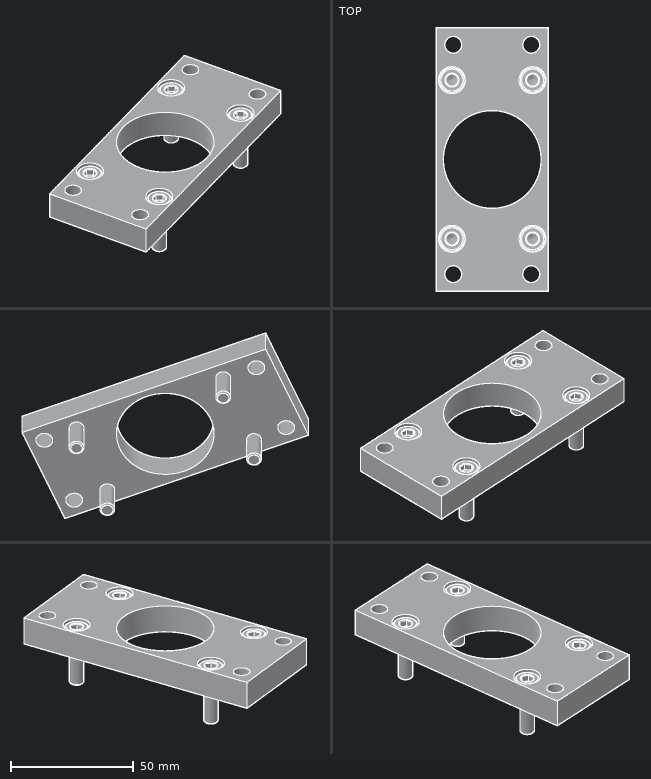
import cadquery as cq
import math

PLATE_WIDTH = 46.0
PLATE_LENGTH = 108.0
PLATE_THICKNESS = 12.0
BORE_DIAMETER = 40.0

CORNER_HOLE_DIAMETER = 6.8
CORNER_HOLE_SPACING_X = 32.0
CORNER_HOLE_SPACING_Y = 94.0

SCREW_SPACING_X = 33.0
SCREW_SPACING_Y = 65.0
SHANK_DIAMETER = 6.0
SHANK_PROTRUSION = 14.8
TIP_CHAMFER = 0.6
HEAD_DIAMETER = 10.0
HEAD_HEIGHT = 6.0
HEAD_EDGE_CHAMFER = 0.5
HEAD_RECESS = 0.8

SOCKET_ACROSS_FLATS = 5.0
SOCKET_ACROSS_CORNERS = SOCKET_ACROSS_FLATS / math.cos(math.radians(30))
SOCKET_ANGLE = 30.0
SOCKET_DEPTH = 3.0
SOCKET_CONE_DEPTH = 1.4

COUNTERBORE_DIAMETER = 11.0
COUNTERBORE_DEPTH = HEAD_HEIGHT + HEAD_RECESS

HEAD_TOP = PLATE_THICKNESS - HEAD_RECESS
HEAD_SEAT = HEAD_TOP - HEAD_HEIGHT


def four_points(spacing_x, spacing_y):
    """Corners of a rectangle centred on the Z axis."""
    return [(sx * spacing_x / 2, sy * spacing_y / 2) for sx in (-1, 1) for sy in (-1, 1)]


screw_points = four_points(SCREW_SPACING_X, SCREW_SPACING_Y)
corner_points = four_points(CORNER_HOLE_SPACING_X, CORNER_HOLE_SPACING_Y)


def make_plate():
    """Rectangular plate with central bore, corner holes and counterbored screw holes."""
    blank = cq.Workplane("XY").box(PLATE_WIDTH, PLATE_LENGTH, PLATE_THICKNESS, centered=(True, True, False))
    bored = blank.faces(">Z").workplane().hole(BORE_DIAMETER)
    drilled = bored.pushPoints(corner_points).hole(CORNER_HOLE_DIAMETER)
    return drilled.pushPoints(screw_points).cboreHole(
        SHANK_DIAMETER, COUNTERBORE_DIAMETER, COUNTERBORE_DEPTH
    )


def make_socket():
    """Cutter for the hexagonal socket: mouth countersink, hexagon and conical bottom."""
    floor = HEAD_TOP - SOCKET_DEPTH
    mouth_radius = SOCKET_ACROSS_CORNERS / 2
    flat_radius = SOCKET_ACROSS_FLATS / 2
    hexagon = (
        cq.Workplane("XY", origin=(0, 0, floor))
        .transformed(rotate=(0, 0, SOCKET_ANGLE))
        .polygon(6, SOCKET_ACROSS_CORNERS)
        .extrude(SOCKET_DEPTH)
    )
    down = cq.Vector(0, 0, -1)
    bottom_cone = cq.Solid.makeCone(flat_radius, 0, SOCKET_CONE_DEPTH, cq.Vector(0, 0, floor), down)
    mouth_cone = cq.Solid.makeCone(mouth_radius, 0, mouth_radius, cq.Vector(0, 0, HEAD_TOP), down)
    return hexagon.union(cq.Workplane(bottom_cone)).union(cq.Workplane(mouth_cone))


def make_screw(x, y):
    """Socket head screw seated in its counterbore, pointing down."""
    shank = (
        cq.Workplane("XY", origin=(0, 0, -SHANK_PROTRUSION))
        .circle(SHANK_DIAMETER / 2)
        .extrude(SHANK_PROTRUSION + HEAD_SEAT)
        .faces("<Z")
        .chamfer(TIP_CHAMFER)
    )
    head = (
        cq.Workplane("XY", origin=(0, 0, HEAD_SEAT))
        .circle(HEAD_DIAMETER / 2)
        .extrude(HEAD_HEIGHT)
        .faces(">Z")
        .edges()
        .chamfer(HEAD_EDGE_CHAMFER)
    )
    return shank.union(head).cut(make_socket()).translate((x, y, 0))


plate = make_plate()
screws = [make_screw(x, y) for x, y in screw_points]

result = cq.Compound.makeCompound([plate.val(), *[screw.val() for screw in screws]])